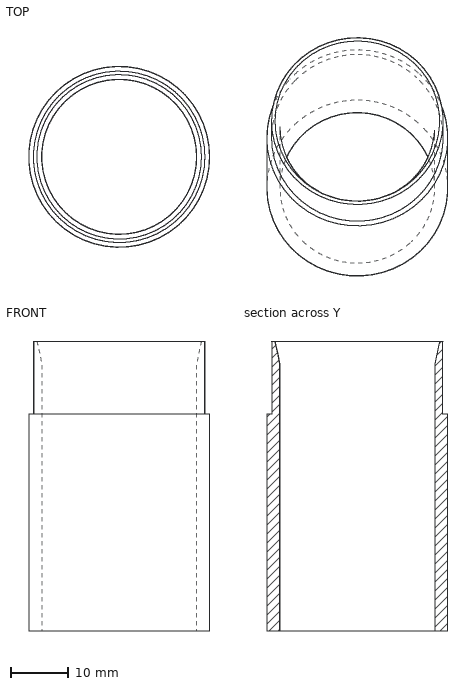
import cadquery as cq

total_height = 50.8
body_diameter = 31.75
bore_diameter = 27.15

neck_height = 12.7
neck_diameter = 30.05
mouth_diameter = 28.85
taper_depth = 4.1

body_height = total_height - neck_height
taper_start = total_height - taper_depth


def cylinder(diameter, bottom, height):
    """Upright cylinder on the Z axis, starting at the given level."""
    return cq.Workplane("XY").workplane(offset=bottom).circle(diameter / 2).extrude(height)


body = cylinder(body_diameter, 0, body_height)
neck = cylinder(neck_diameter, body_height, neck_height)

bore = cylinder(bore_diameter, 0, total_height)
taper = cq.Workplane(
    cq.Solid.makeCone(
        bore_diameter / 2,
        mouth_diameter / 2,
        taper_depth,
        pnt=cq.Vector(0, 0, taper_start),
    )
)

result = body.union(neck).cut(bore).cut(taper)